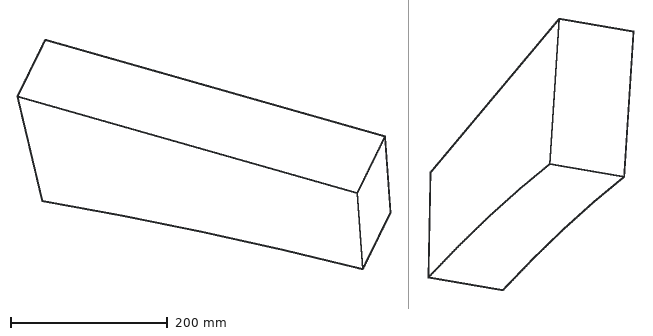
import cadquery as cq
import math

length = 470.0
width = 101.5
height = 192.0

left_lean = 34.0
right_lean = 7.5
right_bottom = 45.0
underside_rise = 6.0

chord_run = length - left_lean
chord_length = math.hypot(chord_run, right_bottom)
underside_mid = (
    left_lean + chord_run / 2 - underside_rise * right_bottom / chord_length,
    right_bottom / 2 + underside_rise * chord_run / chord_length,
)

result = (
    cq.Workplane("XZ")
    .moveTo(0, height)
    .lineTo(length - right_lean, height)
    .lineTo(length, right_bottom)
    .threePointArc(underside_mid, (left_lean, 0))
    .close()
    .extrude(-width)
)